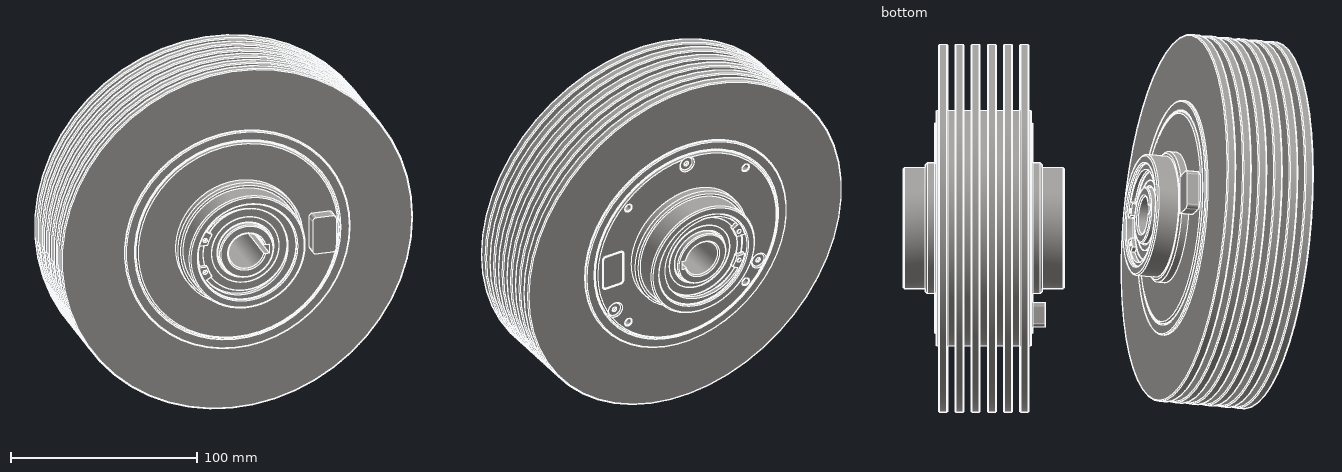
import cadquery as cq
import math

hub_length = 86.5
hub_radius = 32.7
hub_chamfer = 0.8
collar_length = 63.0
collar_radius = 35.2
collar_chamfer = 1.2

body_length = 51.5
body_radius = 63.4
body_chamfer = 0.5
cover_length = 52.7
cover_radius = 57.2
cover_chamfer = 1.0
cover_seat_radius = 58.0
cover_seat_depth = 0.5

fin_count = 6
fin_radius = 99.0
fin_width = 5.0
fin_pitch = 8.7
fin_chamfer = 0.5

recess_radius = 27.7
recess_depth = 4.0
recess_chamfer = 0.5
seal_outer_radius = 23.8
seal_inner_radius = 19.0
seal_depth = 0.4
bearing_rim_chamfer = 1.2
bearing_bore_chamfer = 0.8

sleeve_radius = 15.2
sleeve_chamfer = 0.5
sleeve_length = 84.0
bore_radius = 10.0
bore_chamfer = 0.8
key_width = 5.1
key_reach = 12.7

ring_thickness = 2.4
ring_inner_radius = 25.1
ring_offset = 1.8
lug_inner_radius = 23.0
lug_end_z = 6.3
lug_half_angle = 32
lug_hole_radius = 1.2
lug_hole_y = -23.4
lug_hole_z = 9.3

fastener_circle = 52.3
screw_count = 3
screw_floor_radius = 3.8
screw_mouth_radius = 4.5
screw_seat_depth = 0.8
screw_socket_radius = 1.4
screw_socket_depth = 2.0
tapped_count = 4
tapped_radius = 2.0
tapped_mouth_radius = 2.4
tapped_depth = 4.0
drill_tip_depth = 1.0

plate_width = 13.3
plate_height = 21.2
plate_center_y = 46.5
plate_corner = 2.0
plate_groove_width = 0.5
plate_groove_depth = 0.2
block_height = 6.7

hub_end = hub_length / 2
cover_face = cover_length / 2
bearing_face = hub_end - recess_depth


def cylinder(radius, x_start, length, y=0.0, z=0.0):
    """Cylinder along X, starting at x_start and running towards +X."""
    return cq.Workplane("YZ", origin=(x_start, y, z)).circle(radius).extrude(length)


def centered_disc(radius, length, chamfer):
    """Disc along X centred on the origin, with both rims chamfered."""
    return cylinder(radius, -length / 2, length).edges().chamfer(chamfer)


def cone(start_radius, end_radius, x_start, length, y=0.0, z=0.0):
    """Truncated cone along X, from start_radius at x_start to end_radius further towards +X."""
    start = cq.Vector(x_start, y, z)
    frustum = cq.Solid.makeCone(start_radius, end_radius, length, start, cq.Vector(1, 0, 0))
    return cq.Workplane(obj=frustum)


def circle_positions(count, first_angle):
    """(y, z) places equally spaced on the fastener circle."""
    angles = [math.radians(first_angle + 360 * i / count) for i in range(count)]
    return [(fastener_circle * math.cos(a), fastener_circle * math.sin(a)) for a in angles]


def rotor():
    body = centered_disc(body_radius, body_length, body_chamfer)
    cover_seat = cylinder(cover_seat_radius, -body_length / 2, cover_seat_depth)
    body = body.cut(cover_seat).cut(cover_seat.mirror("YZ"))
    body = body.union(centered_disc(cover_radius, cover_length, cover_chamfer))
    body = body.union(centered_disc(collar_radius, collar_length, collar_chamfer))
    return body.union(centered_disc(hub_radius, hub_length, hub_chamfer))


def fins():
    fin = centered_disc(fin_radius, fin_width, fin_chamfer)
    first_x = -fin_pitch * (fin_count - 1) / 2
    stack = fin.translate((first_x, 0, 0))
    for i in range(1, fin_count):
        stack = stack.union(fin.translate((first_x + i * fin_pitch, 0, 0)))
    return stack


def bearing_recess():
    """Hollow at the -X hub end, down to the bearing face and its sunken seal."""
    mouth_radius = recess_radius + recess_chamfer
    outline = [
        (-hub_end, 0),
        (-hub_end, mouth_radius),
        (-hub_end + recess_chamfer, recess_radius),
        (-bearing_face + bearing_rim_chamfer, recess_radius),
        (-bearing_face, recess_radius - bearing_rim_chamfer),
        (-bearing_face, seal_outer_radius),
        (-bearing_face + seal_depth, seal_outer_radius),
        (-bearing_face + seal_depth, seal_inner_radius),
        (-bearing_face, seal_inner_radius),
        (-bearing_face, sleeve_radius + bearing_bore_chamfer),
        (-bearing_face + bearing_bore_chamfer, sleeve_radius),
        (-bearing_face + bearing_bore_chamfer, 0),
    ]
    return cq.Workplane("XY").polyline(outline).close().revolve(360, (0, 0, 0), (1, 0, 0))


def retaining_ring():
    """Eccentric ring on the -X bearing face, with two drilled lugs at its open end."""
    x_start = -bearing_face - ring_thickness
    ring = cylinder(recess_radius, x_start, ring_thickness)
    ring = ring.cut(cylinder(ring_inner_radius, x_start, ring_thickness, y=-ring_offset))

    lugs = cylinder(recess_radius, x_start, ring_thickness)
    lugs = lugs.cut(cylinder(lug_inner_radius, x_start, ring_thickness))
    sector_half_width = recess_radius * math.tan(math.radians(lug_half_angle))
    sector = cq.Workplane("YZ", origin=(x_start, 0, 0))
    sector = sector.polyline(
        [(0, 0), (-recess_radius, sector_half_width), (-recess_radius, -sector_half_width)]
    )
    sector = sector.close().extrude(ring_thickness)
    opening = (
        cq.Workplane("XY")
        .box(ring_thickness, recess_radius, 2 * lug_end_z, centered=(False, False, True))
        .translate((x_start, -recess_radius, 0))
    )
    ring = ring.union(lugs.intersect(sector)).cut(opening)
    for z in (-lug_hole_z, lug_hole_z):
        ring = ring.cut(cylinder(lug_hole_radius, x_start, ring_thickness, lug_hole_y, z))
    return ring


def keyed_bore():
    bore = cylinder(bore_radius, -hub_end, hub_length)
    key = cq.Workplane("XY").box(hub_length, key_reach, key_width, centered=(True, False, True))
    flare = cone(bore_radius + bore_chamfer, bore_radius, -sleeve_length / 2, bore_chamfer)
    return bore.union(key).union(flare).union(flare.mirror("YZ"))


def drilled_hole(radius, depth, y, z):
    """Blind hole in the -X cover with a drill-point bottom."""
    tip = cone(radius, 0, depth - cover_face, drill_tip_depth, y, z)
    return cylinder(radius, -cover_face, depth, y, z).union(tip)


def screw_cuts():
    """Dished seat and driver socket of each cover screw."""
    cuts = cq.Workplane("YZ")
    for y, z in circle_positions(screw_count, 90):
        cuts = cuts.union(cone(screw_mouth_radius, screw_floor_radius, -cover_face, screw_seat_depth, y, z))
        cuts = cuts.union(drilled_hole(screw_socket_radius, screw_socket_depth, y, z))
    return cuts


def tapped_hole_cuts():
    """Blind holes with a chamfered mouth."""
    mouth_depth = tapped_mouth_radius - tapped_radius
    cuts = cq.Workplane("YZ")
    for y, z in circle_positions(tapped_count, 45):
        cuts = cuts.union(drilled_hole(tapped_radius, tapped_depth, y, z))
        cuts = cuts.union(cone(tapped_mouth_radius, tapped_radius, -cover_face, mouth_depth, y, z))
    return cuts


def plate_prism(x_start, length, inset=0.0):
    """Rounded rectangle of the name plate, running along X and shrunk by inset on every side."""
    prism = cq.Workplane("YZ", origin=(x_start, plate_center_y, 0))
    prism = prism.rect(plate_width - 2 * inset, plate_height - 2 * inset).extrude(length)
    return prism.edges("|X").fillet(plate_corner - inset)


def plate_groove():
    """Shallow groove framing the name plate on the -X cover."""
    plate = plate_prism(-cover_face, plate_groove_depth, plate_groove_width)
    return plate_prism(-cover_face, plate_groove_depth).cut(plate)


recess = bearing_recess()
snap_ring = retaining_ring()

result = rotor().union(fins())
result = result.cut(recess).cut(recess.mirror("YZ"))
result = result.union(snap_ring).union(snap_ring.mirror("YZ"))
result = result.union(centered_disc(sleeve_radius, sleeve_length, sleeve_chamfer))
result = result.cut(keyed_bore())
result = result.cut(screw_cuts()).cut(tapped_hole_cuts())
result = result.cut(plate_groove())
result = result.union(plate_prism(cover_face, block_height))